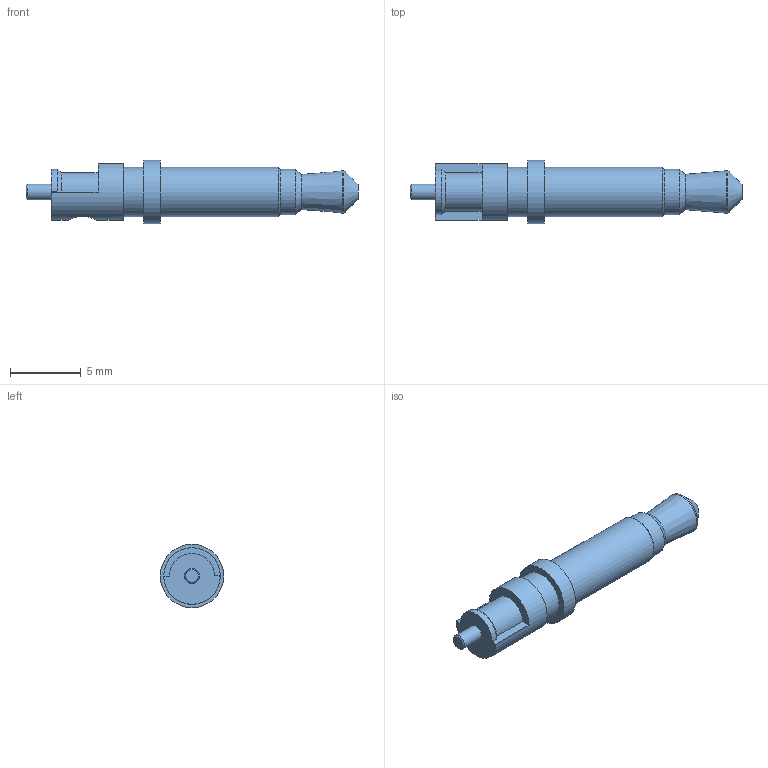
import cadquery as cq

overall_length = 23.5
shell_start = 1.8
collar_end = 2.25
collar_taper_end = 2.5
cutaway_end = 5.1
shell_end = 6.9
flange_start = 8.35
flange_end = 9.5
sleeve_end = 18.0
ring_end = 19.05
waist = 19.5
tip_crest_start = 22.4
tip_crest_end = 22.5

pin_radius = 0.55
core_radius = 1.35
collar_radius = 1.6
shell_radius = 2.0
flange_radius = 2.25
sleeve_radius = 1.75
ring_radius = 1.6
waist_radius = 1.25
tip_radius = 1.5
nose_radius = 0.55

pin_chamfer = 0.1
sleeve_chamfer = sleeve_radius - ring_radius

solder_hole_radius = 1.0
solder_hole_x = 4.0


def revolve_about_x(outline):
    """Revolve an (x, radius) outline that starts and ends on the X axis."""
    return cq.Workplane("XY").polyline(outline).close().revolve(360, (0, 0, 0), (1, 0, 0))


def make_core():
    """Contact pin, end collar and the inner core enclosed by the shell."""
    return revolve_about_x([
        (0, 0),
        (0, pin_radius - pin_chamfer),
        (pin_chamfer, pin_radius),
        (shell_start, pin_radius),
        (shell_start, collar_radius),
        (collar_end, collar_radius),
        (collar_taper_end, core_radius),
        (shell_end, core_radius),
        (shell_end, 0),
    ])


def make_shell():
    """Rear shell with its upper half cut away and a solder hole below."""
    shell = (
        cq.Workplane("YZ", origin=(shell_start, 0, 0))
        .circle(shell_radius)
        .extrude(shell_end - shell_start)
    )
    upper_half = cq.Workplane("XY", origin=(shell_start, 0, 0)).box(
        cutaway_end - shell_start,
        2 * shell_radius,
        shell_radius,
        centered=(False, True, False),
    )
    solder_hole = (
        cq.Workplane("XY")
        .center(solder_hole_x, 0)
        .circle(solder_hole_radius)
        .extrude(-shell_radius)
    )
    return shell.cut(upper_half).cut(solder_hole)


def make_plug():
    """Flanged sleeve, insulating ring and pointed tip."""
    return revolve_about_x([
        (shell_end, 0),
        (shell_end, sleeve_radius),
        (flange_start, sleeve_radius),
        (flange_start, flange_radius),
        (flange_end, flange_radius),
        (flange_end, sleeve_radius),
        (sleeve_end - sleeve_chamfer, sleeve_radius),
        (sleeve_end, ring_radius),
        (ring_end, ring_radius),
        (waist, waist_radius),
        (tip_crest_start, tip_radius),
        (tip_crest_end, tip_radius),
        (overall_length, nose_radius),
        (overall_length, 0),
    ])


result = make_shell().union(make_core()).union(make_plug())